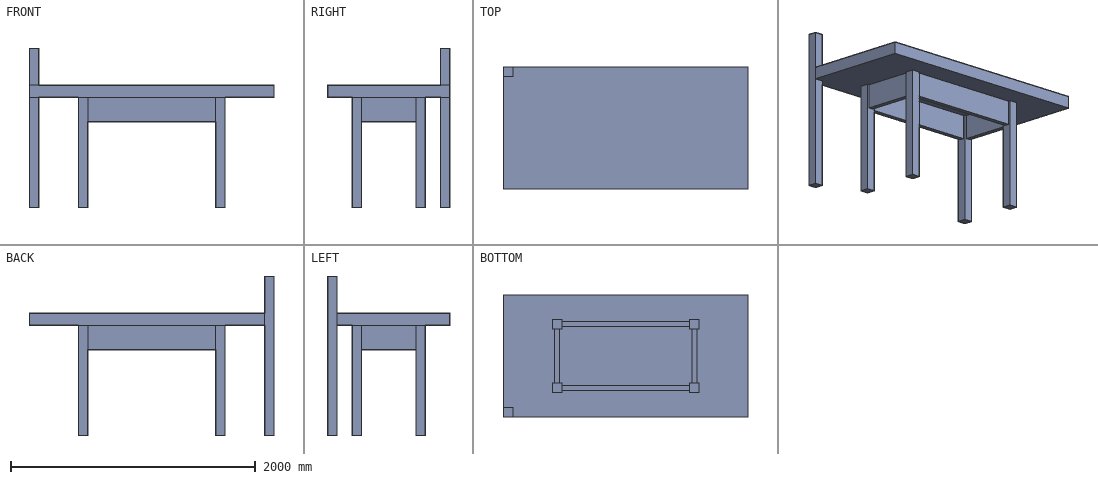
import cadquery as cq

TOP_LENGTH = 2000.0
TOP_WIDTH = 1000.0
TOP_THICKNESS = 100.0
TOP_HEIGHT = 1000.0
TOP_UNDERSIDE = TOP_HEIGHT - TOP_THICKNESS

POST_SIDE = 78.0
POST_HEIGHT = 1300.0

LEG_SIDE = 78.0
LEG_INSET_X = 400.0
LEG_INSET_Y = 200.0

RAIL_HEIGHT = 200.0
RAIL_THICKNESS = 40.0


def box_at(x, y, z, length, width, height):
    """Box with its minimum corner at (x, y, z)."""
    return cq.Workplane("XY").box(length, width, height, centered=False).translate((x, y, z))


def make_post():
    """Full-height square post in the -X, +Y corner."""
    return box_at(0, TOP_WIDTH - POST_SIDE, 0, POST_SIDE, POST_SIDE, POST_HEIGHT)


def make_table():
    """Table top with four legs and a ring of rails, notched for the corner post."""
    table = box_at(0, 0, TOP_UNDERSIDE, TOP_LENGTH, TOP_WIDTH, TOP_THICKNESS)

    leg_xs = (LEG_INSET_X, TOP_LENGTH - LEG_INSET_X - LEG_SIDE)
    leg_ys = (LEG_INSET_Y, TOP_WIDTH - LEG_INSET_Y - LEG_SIDE)
    for x in leg_xs:
        for y in leg_ys:
            table = table.union(box_at(x, y, 0, LEG_SIDE, LEG_SIDE, TOP_UNDERSIDE))

    rail_z = TOP_UNDERSIDE - RAIL_HEIGHT
    rail_setback = (LEG_SIDE - RAIL_THICKNESS) / 2
    long_rail_x = leg_xs[0] + LEG_SIDE
    long_rail_length = leg_xs[1] - long_rail_x
    for y in leg_ys:
        table = table.union(
            box_at(long_rail_x, y + rail_setback, rail_z, long_rail_length, RAIL_THICKNESS, RAIL_HEIGHT)
        )

    short_rail_y = leg_ys[0] + LEG_SIDE
    short_rail_length = leg_ys[1] - short_rail_y
    for x in leg_xs:
        table = table.union(
            box_at(x + rail_setback, short_rail_y, rail_z, RAIL_THICKNESS, short_rail_length, RAIL_HEIGHT)
        )

    return table.cut(make_post())


table = make_table()
post = make_post()

result = cq.Compound.makeCompound([table.val(), post.val()])